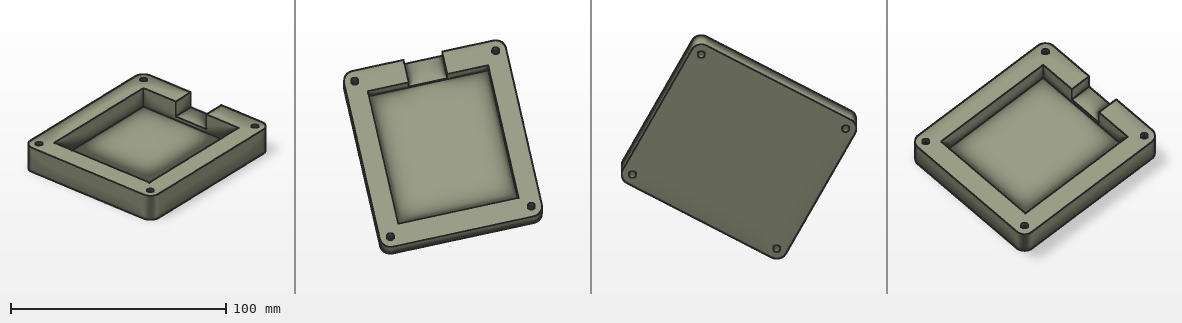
import cadquery as cq

width = 77.0
length = 86.2
height = 13.0
corner_radius = 5.0

hole_diameter = 3.4
hole_spacing_x = width - 2 * corner_radius
hole_spacing_y = length - 2 * corner_radius

pocket_width = 57.2
pocket_length = 65.0
pocket_depth = 10.0
back_wall = 11.0
pocket_back_y = length / 2 - back_wall
pocket_center_y = pocket_back_y - pocket_length / 2

notch_width = 18.35
notch_depth = 8.0
notch_center_y = pocket_back_y + back_wall / 2


def cut_from_top(size_x, size_y, depth, center_y):
    """Box reaching down from the top face, centred on X."""
    return (
        cq.Workplane("XY", origin=(0, center_y, height - depth))
        .rect(size_x, size_y)
        .extrude(depth)
    )


block = cq.Workplane("XY").rect(width, length).extrude(height).edges("|Z").fillet(corner_radius)

holes = (
    cq.Workplane("XY")
    .rect(hole_spacing_x, hole_spacing_y, forConstruction=True)
    .vertices()
    .circle(hole_diameter / 2)
    .extrude(height)
)

pocket = cut_from_top(pocket_width, pocket_length, pocket_depth, pocket_center_y)
notch = cut_from_top(notch_width, back_wall, notch_depth, notch_center_y)

result = block.cut(holes).cut(pocket).cut(notch)